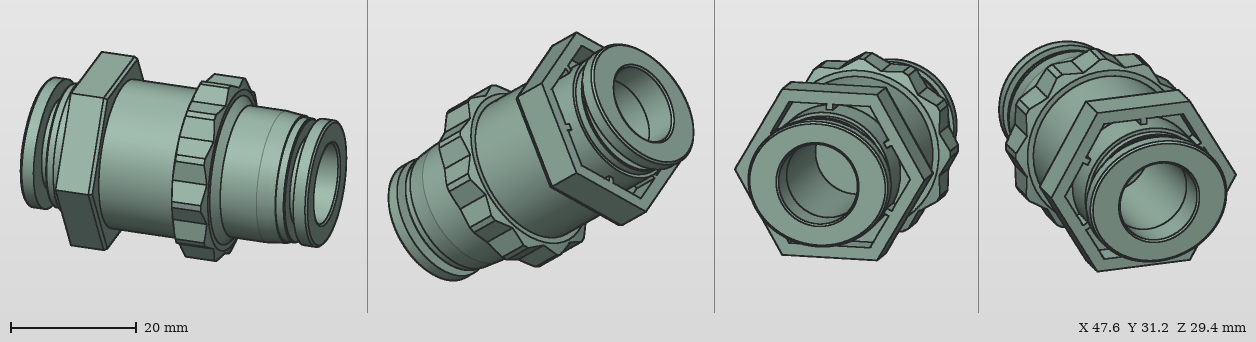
import cadquery as cq
import math


total_length = 47.6
button_flange_length = 2.3
button_gap = 1.5
body_start = button_flange_length + button_gap
body_end = total_length - body_start
end_ring_length = 1.48
hex_start = 7.35
hex_length = 6.05
hex_end = hex_start + hex_length
nut_start = 25.9
nut_length = 6.05
nut_end = nut_start + nut_length
shoulder_cone_end = 33.22
taper_start = 39.2

flats_per_corners = math.cos(math.radians(30))

end_ring_diameter = 20.0
end_ring_chamfer = 0.2
sleeve_diameter = 21.2
barrel_diameter = 24.0
taper_end_diameter = 20.5

hex_corner_diameter = 31.2
hex_chamfer_length = 0.55
hex_chamfer_drop = 0.3
pocket_flats = 23.0
pocket_depth = 4.0
rib_count = 6
rib_width = 1.0

bore_diameter = 13.0
stop_wall = 1.9

button_stem_diameter = 14.8
button_stem_end = 5.3
button_flange_diameter = 20.35
oval_flange_width = 23.0
button_outer_chamfer = 0.35
button_bore_chamfer = 0.31

nut_flats = 26.0
nut_tip_diameter = 29.4
nut_face_diameter = 25.95
nut_bevel_length = 0.6


def cylinder(start, end, diameter):
    """Solid cylinder along X between two stations."""
    return cq.Workplane("YZ", origin=(start, 0, 0)).circle(diameter / 2).extrude(end - start)


def hexagon(start, length, flats, corner_angle):
    """Hexagonal prism along X, with one corner at the given angle in degrees from +Y."""
    corners = flats / flats_per_corners
    prism = cq.Workplane("YZ", origin=(start, 0, 0)).polygon(6, corners).extrude(length)
    return prism.rotate((0, 0, 0), (1, 0, 0), corner_angle)


def revolved(profile):
    """Solid turned about the X axis from (x, radius) points."""
    return cq.Workplane("XY").polyline(profile).close().revolve(360, (0, 0, 0), (1, 0, 0))


def mirrored_to_far_end(shape):
    """Mirror image of a shape, moved from the X = 0 end to the opposite end."""
    return shape.mirror("YZ").translate((total_length, 0, 0))


def make_turned_core():
    ring_radius = end_ring_diameter / 2
    sleeve_radius = sleeve_diameter / 2
    barrel_radius = barrel_diameter / 2
    left_ring_end = body_start + end_ring_length
    right_ring_start = body_end - end_ring_length
    return revolved([
        (body_start, 0),
        (body_start, ring_radius - end_ring_chamfer),
        (body_start + end_ring_chamfer, ring_radius),
        (left_ring_end, ring_radius),
        (left_ring_end, sleeve_radius),
        (hex_end, sleeve_radius),
        (hex_end, barrel_radius),
        (nut_end, barrel_radius),
        (shoulder_cone_end, sleeve_radius),
        (taper_start, sleeve_radius),
        (right_ring_start, taper_end_diameter / 2),
        (right_ring_start, ring_radius),
        (body_end - end_ring_chamfer, ring_radius),
        (body_end, ring_radius - end_ring_chamfer),
        (body_end, 0),
    ])


def make_hex_collar():
    hex_flats = hex_corner_diameter * flats_per_corners
    collar = hexagon(hex_start, hex_length, hex_flats, 0)
    collar = collar.faces(">X").chamfer(hex_chamfer_length, hex_chamfer_drop)
    pocket = hexagon(hex_start, pocket_depth, pocket_flats, 0)
    for index in range(rib_count):
        rib = cq.Workplane("XY").box(pocket_depth, rib_width, pocket_flats / 2, centered=(False, True, False))
        rib = rib.translate((hex_start, 0, 0)).rotate((0, 0, 0), (1, 0, 0), index * 360 / rib_count)
        pocket = pocket.cut(rib)
    return collar.cut(pocket)


def make_body():
    body = make_turned_core().union(make_hex_collar())
    middle = total_length / 2
    bore = cylinder(body_start, middle - stop_wall / 2, bore_diameter)
    stem_seat = cylinder(body_start, button_stem_end, button_stem_diameter)
    port = bore.union(stem_seat)
    return body.cut(port).cut(mirrored_to_far_end(port))


def make_button(flange_width):
    """Release button at the X = 0 end; flange_width is the size of its flange along Y."""
    flange = cq.Workplane("YZ").ellipse(flange_width / 2, button_flange_diameter / 2)
    flange = flange.extrude(button_flange_length).faces("<X").chamfer(button_outer_chamfer)
    button = flange.union(cylinder(0, button_stem_end, button_stem_diameter))
    button = button.cut(cylinder(0, button_stem_end, bore_diameter))
    bore_rim = button.faces("<X").edges(cq.selectors.RadiusNthSelector(0))
    return bore_rim.chamfer(button_bore_chamfer)


def make_nut():
    corners_on_y = hexagon(nut_start, nut_length, nut_flats, 0)
    corners_on_z = hexagon(nut_start, nut_length, nut_flats, 30)
    nut = corners_on_y.union(corners_on_z)
    face_radius = nut_face_diameter / 2
    tip_radius = nut_tip_diameter / 2
    envelope = revolved([
        (nut_start, 0),
        (nut_start, face_radius),
        (nut_start + nut_bevel_length, tip_radius),
        (nut_end - nut_bevel_length, tip_radius),
        (nut_end, face_radius),
        (nut_end, 0),
    ])
    return nut.intersect(envelope).cut(cylinder(nut_start, nut_end, barrel_diameter))


body = make_body()
nut = make_nut()
oval_button = make_button(oval_flange_width)
round_button = mirrored_to_far_end(make_button(button_flange_diameter))

result = cq.Compound.makeCompound([body.val(), nut.val(), oval_button.val(), round_button.val()])